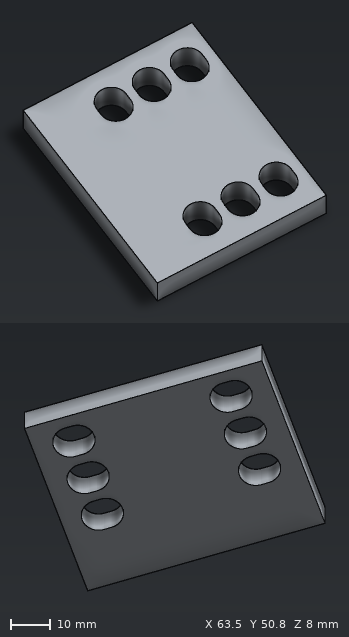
import cadquery as cq

length = 63.5
width = 50.8
thickness = 8.0

slot_length = 10.8
slot_width = 8.75
column_spacing = 42.05
row_pitch = 11.4
rows = 3
middle_row_y = 6.4

plate = cq.Workplane("XY").box(length, width, thickness)

slots = (
    cq.Workplane("XY")
    .center(0, middle_row_y)
    .rarray(column_spacing, row_pitch, 2, rows)
    .slot2D(slot_length, slot_width)
    .extrude(thickness, both=True)
)

result = plate.cut(slots)